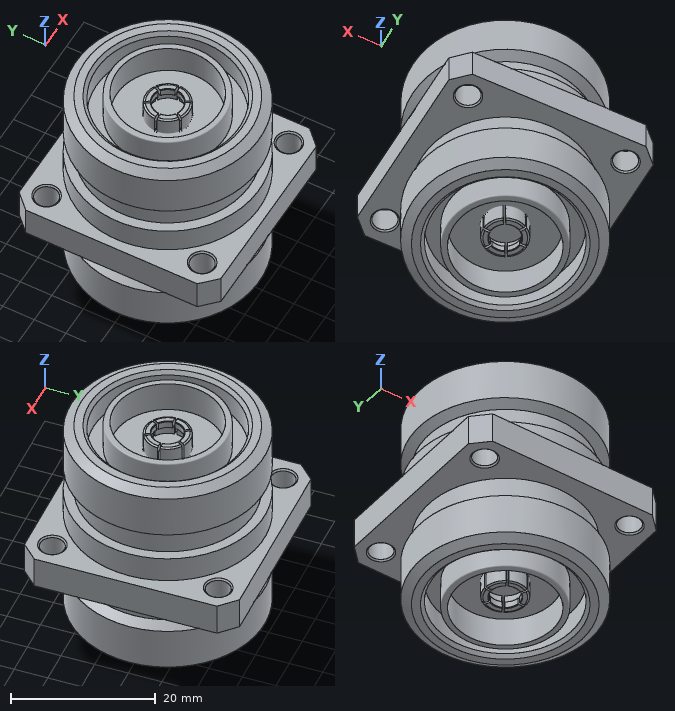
import cadquery as cq
import math

height = 34.0
half_height = height / 2

flange_side = 32.0
flange_corner = 2.4
flange_thickness = 4.95
collar_radius = 14.5
body_half_height = 4.5
flange_bottom = -body_half_height

hole_pitch = 24.65
hole_diameter = 3.6
hole_chamfer = 0.25

neck_radius = 13.0
ring_radius = collar_radius
ring_bottom = 8.02
ring_top = 16.35
bevel_angle = 30
bevel_height = (ring_radius - neck_radius) * math.tan(math.radians(bevel_angle))

socket_radius = 11.2
socket_chamfer = 0.55
socket_floor = 12.27
tube_outer_radius = 8.95
tube_bore_radius = 8.0
tube_rounding = 0.2

contact_radius = 3.4
contact_chamfer_width = 0.3
contact_chamfer_height = 0.15
contact_lip_radius = 2.3
contact_lip_depth = 1.12
contact_lip_chamfer = 0.1
contact_relief_radius = 3.0
contact_base_fillet = 0.1
contact_top = 15.05
slot_width = 0.35
slot_count = 3
slot_length = 2 * tube_bore_radius


def make_flange():
    """Square plate with cut corners and four chamfered through holes, plus the round collar."""
    plate = (
        cq.Workplane("XY", origin=(0, 0, flange_bottom))
        .rect(flange_side, flange_side)
        .extrude(flange_thickness)
        .edges("|Z")
        .chamfer(flange_corner)
    )
    holes = (
        cq.Workplane("XY", origin=(0, 0, flange_bottom))
        .rect(hole_pitch, hole_pitch, forConstruction=True)
        .vertices()
        .circle(hole_diameter / 2)
        .extrude(flange_thickness)
    )
    plate = plate.cut(holes)
    plate = plate.edges("%CIRCLE").chamfer(hole_chamfer)
    collar = cq.Workplane("XY").circle(collar_radius).extrude(body_half_height)
    return plate.union(collar)


def make_shell():
    """Neck, bevelled ring, socket and rounded tube of the upper end, as one revolved profile."""
    profile = [
        (0, 0),
        (neck_radius, 0),
        (neck_radius, ring_bottom),
        (ring_radius, ring_bottom + bevel_height),
        (ring_radius, ring_top - bevel_height),
        (neck_radius, ring_top),
        (socket_radius + socket_chamfer, ring_top),
        (socket_radius, ring_top - socket_chamfer),
        (socket_radius, socket_floor),
        (tube_outer_radius, socket_floor),
        (tube_outer_radius, half_height),
        (tube_bore_radius, half_height),
        (tube_bore_radius, socket_floor),
        (0, socket_floor),
    ]
    shell = cq.Workplane("XZ").polyline(profile).close().revolve(360, (0, 0), (0, 1))
    tube_rim = shell.faces(">Z").edges(cq.selectors.RadiusNthSelector(-1))
    return tube_rim.fillet(tube_rounding)


def make_contact():
    """Round contact with a gripping lip in its mouth, split into fingers by slots across it."""
    contact_height = contact_top - socket_floor
    lip_bottom = contact_top - contact_lip_depth
    contact = (
        cq.Workplane("XZ")
        .moveTo(contact_relief_radius, socket_floor)
        .lineTo(contact_radius + contact_base_fillet, socket_floor)
        .radiusArc((contact_radius, socket_floor + contact_base_fillet), contact_base_fillet)
        .lineTo(contact_radius, contact_top - contact_chamfer_height)
        .lineTo(contact_radius - contact_chamfer_width, contact_top)
        .lineTo(contact_lip_radius + contact_lip_chamfer, contact_top)
        .lineTo(contact_lip_radius, contact_top - contact_lip_chamfer)
        .lineTo(contact_lip_radius, lip_bottom)
        .lineTo(contact_relief_radius, lip_bottom)
        .close()
        .revolve(360, (0, 0), (0, 1))
    )
    slot = cq.Workplane("XY", origin=(0, 0, socket_floor + contact_height / 2)).box(
        slot_length, slot_width, contact_height
    )
    for index in range(slot_count):
        contact = contact.cut(slot.rotate((0, 0, 0), (0, 0, 1), index * 180 / slot_count))
    return contact


upper_end = make_shell().union(make_contact())
lower_end = upper_end.mirror("XY")
result = make_flange().union(upper_end).union(lower_end)